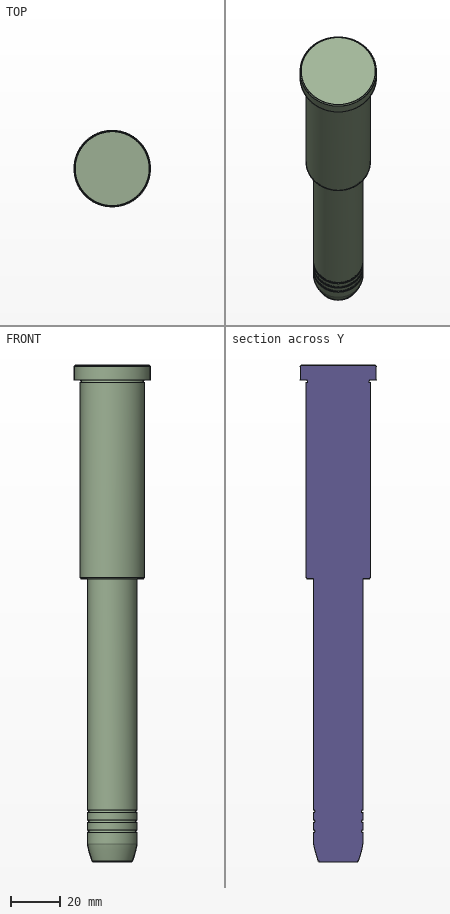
import cadquery as cq

length = 201.0
head_radius = 15.5
body_radius = 13.0
shank_radius = 10.0
nose_radius = 8.2

head_height = 6.0
body_bottom = 114.5
nose_height = 7.2

head_chamfer = 0.5
body_chamfer = 0.5
nose_chamfer = 0.5

groove_radius = 0.5
ring_groove_count = 3
ring_groove_pitch = 4.0
first_ring_groove_height = 12.5

nose_bulge = 0.2


def cylinder(radius, bottom, top):
    return cq.Workplane("XY").workplane(offset=bottom).circle(radius).extrude(top - bottom)


def ring_cutter(radius, height):
    """Torus whose tube is centred on the surface of a cylinder of the given radius."""
    return (
        cq.Workplane("XZ")
        .center(radius, height)
        .circle(groove_radius)
        .revolve(360, (-radius, 0, 0), (-radius, 1, 0))
    )


def make_nose():
    """Slightly convex taper from the shank down to the chamfered tip."""
    middle = ((nose_radius + shank_radius) / 2 + nose_bulge, (nose_chamfer + nose_height) / 2)
    return (
        cq.Workplane("XZ")
        .lineTo(nose_radius - nose_chamfer, 0)
        .lineTo(nose_radius, nose_chamfer)
        .threePointArc(middle, (shank_radius, nose_height))
        .lineTo(0, nose_height)
        .close()
        .revolve(360, (0, 0, 0), (0, 1, 0))
    )


head_bottom = length - head_height

head = cylinder(head_radius, head_bottom, length).faces(">Z").chamfer(head_chamfer)
body = cylinder(body_radius, body_bottom, head_bottom).faces("<Z").chamfer(body_chamfer)
shank = cylinder(shank_radius, nose_height, body_bottom)

body = body.cut(ring_cutter(body_radius, head_bottom - groove_radius))

for index in range(ring_groove_count):
    groove_height = first_ring_groove_height + index * ring_groove_pitch
    shank = shank.cut(ring_cutter(shank_radius, groove_height))

result = make_nose().union(shank).union(body).union(head)